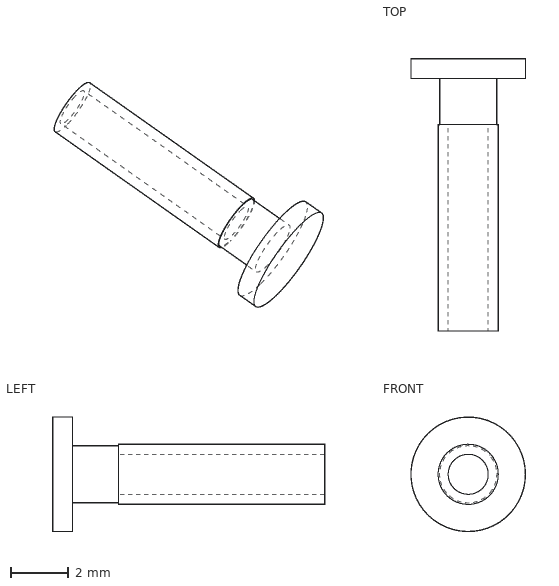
import cadquery as cq

total_length = 9.5
head_diameter = 4.0
head_thickness = 0.7
neck_diameter = 1.995
neck_length = 1.6
sleeve_diameter = 2.1
bore_diameter = 1.4

sleeve_length = total_length - head_thickness - neck_length
bore_depth = sleeve_length


def cylinder_along_y(diameter, start_y, length):
    """Solid cylinder on the Y axis, running from start_y toward +Y."""
    base = cq.Workplane("XZ", origin=(0, start_y, 0))
    return base.circle(diameter / 2).extrude(-length)


sleeve = cylinder_along_y(sleeve_diameter, 0, sleeve_length)
neck = cylinder_along_y(neck_diameter, sleeve_length, neck_length)
head = cylinder_along_y(head_diameter, sleeve_length + neck_length, head_thickness)
bore = cylinder_along_y(bore_diameter, 0, bore_depth)

result = sleeve.union(neck).union(head).cut(bore)